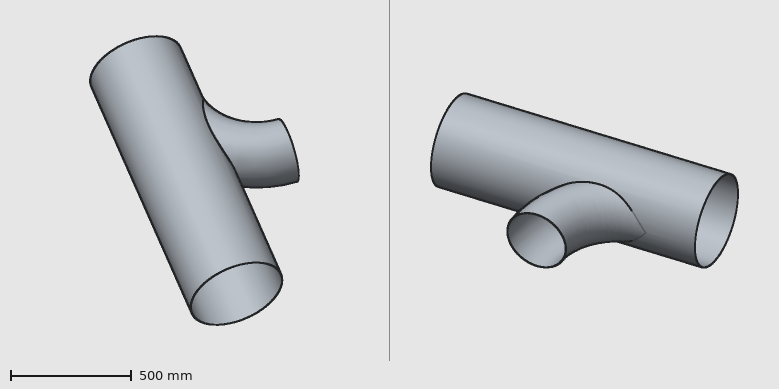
import cadquery as cq

run_length = 1220.0
run_outer_diameter = 406.4
wall = 3.0
run_outer_radius = run_outer_diameter / 2
run_inner_radius = run_outer_radius - wall

branch_outer_diameter = 273.0
branch_outer_radius = branch_outer_diameter / 2
branch_inner_radius = branch_outer_radius - wall
bend_radius = 381.0
branch_mouth_y = run_outer_radius + bend_radius - branch_outer_radius


def run_cylinder(radius):
    """Solid cylinder along X over the full length of the run."""
    return cq.Workplane("YZ", origin=(-run_length / 2, 0, 0)).circle(radius).extrude(run_length)


def elbow_solid(radius):
    """Solid quarter bend from the mouth, facing +Y at X = 0, round to -X."""
    return (
        cq.Workplane("XZ", origin=(0, branch_mouth_y, 0))
        .circle(radius)
        .revolve(90, (-bend_radius, 1), (-bend_radius, 0))
    )


def build_tee():
    """Join the run and the elbow, then open both bores into each other."""
    outside = run_cylinder(run_outer_radius).union(elbow_solid(branch_outer_radius))
    return outside.cut(run_cylinder(run_inner_radius)).cut(elbow_solid(branch_inner_radius))


result = build_tee()